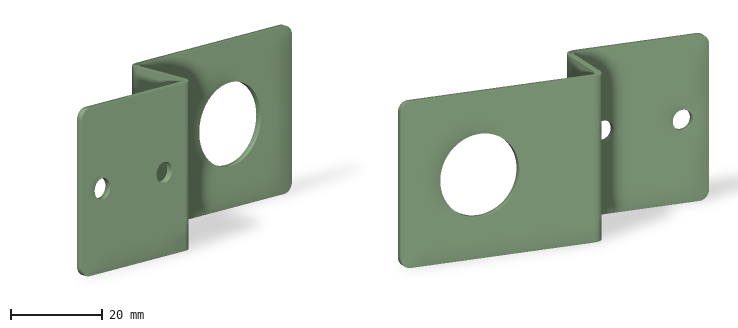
import cadquery as cq

length = 82.55
width = 19.3
height = 38.1

thickness = 1.5
inner_radius = 1.3
outer_radius = inner_radius + thickness
web_front = 33.1
corner_radius = 2.4

large_hole_diameter = 19.1
large_hole_from_back = 19.1
small_hole_diameter = 4.8
small_hole_from_front = 6.35
small_hole_spacing = 19.1

front_end = -length / 2
back_end = length / 2
left_face = -width / 2
right_face = width / 2
web_y = front_end + web_front


def bent_sheet():
    """Z-shaped strip: back flange on the left, web, front flange on the right."""
    strip = (
        cq.Workplane("XY")
        .workplane(offset=-height / 2)
        .moveTo(left_face, back_end)
        .lineTo(left_face, web_y)
        .lineTo(right_face - thickness, web_y)
        .lineTo(right_face - thickness, front_end)
        .lineTo(right_face, front_end)
        .lineTo(right_face, web_y + thickness)
        .lineTo(left_face + thickness, web_y + thickness)
        .lineTo(left_face + thickness, back_end)
        .close()
        .extrude(height)
    )
    left_outer = (left_face, web_y, 0)
    right_outer = (right_face, web_y + thickness, 0)
    left_inner = (left_face + thickness, web_y + thickness, 0)
    right_inner = (right_face - thickness, web_y, 0)
    for bend_edge in (left_outer, right_outer):
        strip = strip.edges(cq.selectors.NearestToPointSelector(bend_edge)).fillet(outer_radius)
    for bend_edge in (left_inner, right_inner):
        strip = strip.edges(cq.selectors.NearestToPointSelector(bend_edge)).fillet(inner_radius)
    return strip


def round_flange_corners(sheet):
    """Round the four free corners, whose edges run through the sheet thickness."""
    for end_face in ("<Y", ">Y"):
        sheet = sheet.faces(end_face).edges("|X").fillet(corner_radius)
    return sheet


def through_hole(y, diameter):
    """Cylinder along X that spans the whole part at mid-height."""
    return cq.Workplane("YZ").center(y, 0).circle(diameter / 2).extrude(width, both=True)


result = round_flange_corners(bent_sheet())

result = result.cut(through_hole(back_end - large_hole_from_back, large_hole_diameter))

for index in range(2):
    hole_y = front_end + small_hole_from_front + index * small_hole_spacing
    result = result.cut(through_hole(hole_y, small_hole_diameter))